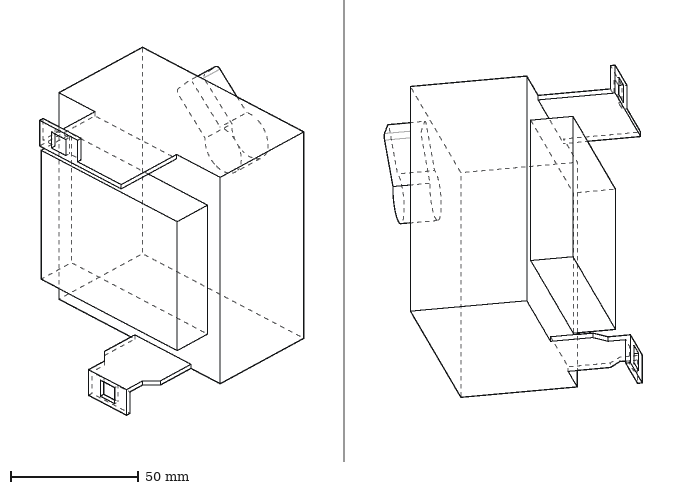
import cadquery as cq

total_height = 116.0
lip_height = 10.0
body_width = 89.0
body_depth = 47.0
body_height = total_height - 2 * lip_height
body_left = -body_width / 2
body_top = body_height / 2

block_width = 75.0
block_height = 60.0
block_depth = 17.0
block_top_offset = 16.0

tab_reach = 31.1
tab_thickness = 2.0
lip_width = 21.0
window_width = 7.9
window_height = 7.4

upper_tab_left = body_left + 20.0
upper_tab_width = 45.0

lower_lip_left = body_left + 46.9
shoulder = 5.0

knob_depth = 15.0
knob_radius = 10.0
knob_center_x = 0.0
knob_center_z = body_top - 28.1
pointer_length = 30.0
pointer_width = 12.1
pointer_fillet = 2.0
pointer_tilt = 43.0

front_y = -body_depth
tab_end_y = front_y - tab_reach


def box(x, y, z, width, depth, height):
    """Box whose minimum corner is (x, y, z)."""
    return cq.Workplane("XY").box(width, depth, height, centered=False).translate((x, y, z))


def upright_lip(left, bottom, window_bottom):
    """Lip at the end of a tab, including the plate thickness, with a through window."""
    lip = box(left, tab_end_y, bottom, lip_width, tab_thickness, lip_height + tab_thickness)
    window_left = left + (lip_width - window_width) / 2
    window = box(window_left, tab_end_y, window_bottom, window_width, tab_thickness, window_height)
    return lip.cut(window)


def upper_tab():
    """Straight plate flush with the housing top, with its lip turned up at the left end."""
    plate_bottom = body_top - tab_thickness
    plate = box(upper_tab_left, tab_end_y, plate_bottom, upper_tab_width, tab_reach, tab_thickness)
    return plate.union(upright_lip(upper_tab_left, plate_bottom, body_top))


def lower_tab():
    """Plate flush with the housing bottom, tapering at 45 degrees to a lip turned down."""
    lip_right = lower_lip_left + lip_width
    taper_start_y = front_y - block_depth
    taper_end_y = taper_start_y - shoulder
    plate = (
        cq.Workplane("XY", origin=(0, 0, -body_top))
        .moveTo(lower_lip_left - shoulder, front_y)
        .lineTo(lower_lip_left - shoulder, taper_start_y)
        .lineTo(lower_lip_left, taper_end_y)
        .lineTo(lower_lip_left, tab_end_y)
        .lineTo(lip_right, tab_end_y)
        .lineTo(lip_right, taper_end_y)
        .lineTo(lip_right + shoulder, taper_start_y)
        .lineTo(lip_right + shoulder, front_y)
        .close()
        .extrude(tab_thickness)
    )
    lip_bottom = -body_top - lip_height
    return plate.union(upright_lip(lower_lip_left, lip_bottom, -body_top - window_height))


def knob():
    """Round hub with a pointer arm, tilted about the hub axis (parallel to Y)."""
    hub = cq.Workplane("XZ").circle(knob_radius).extrude(-knob_depth)
    pointer = (
        box(-pointer_length, 0, -pointer_width / 2, pointer_length, knob_depth, pointer_width)
        .edges("|Y and <X")
        .fillet(pointer_fillet)
    )
    return (
        hub.union(pointer)
        .rotate((0, 0, 0), (0, 1, 0), pointer_tilt)
        .translate((knob_center_x, 0, knob_center_z))
    )


body = box(body_left, front_y, -body_top, body_width, body_depth, body_height)
block = box(
    -block_width / 2,
    front_y - block_depth,
    body_top - block_top_offset - block_height,
    block_width,
    block_depth,
    block_height,
)

result = body.union(block).union(upper_tab()).union(lower_tab()).union(knob())